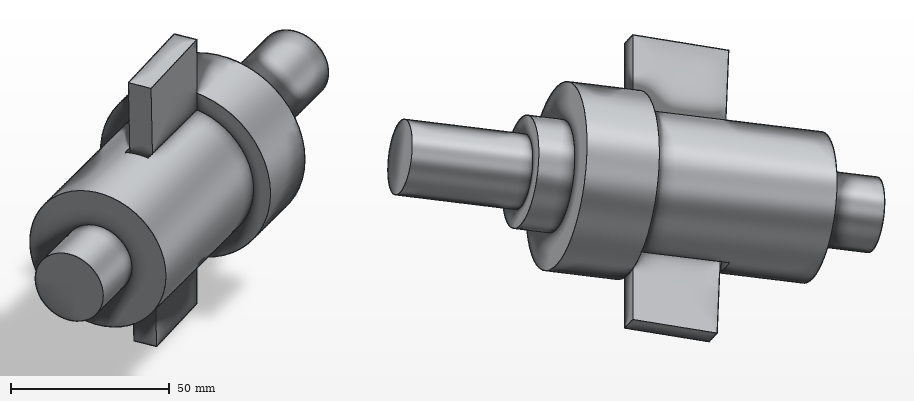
import cadquery as cq
import math

shaft_diameter = 24.0
barrel_diameter = 48.0
collar_diameter = 60.0
hub_diameter = 36.0

nose_length = 20.0
barrel_length = 61.0
collar_length = 24.0
hub_length = 12.0
shank_length = 40.0

blade_thickness = 8.0
blade_depth = 30.0
blade_edge_length = 96.0
blade_tilt = 2.3
slot_depth = 33.0
slot_edge_length = 2 * barrel_diameter


def cylinder(diameter, start_y, length):
    """Solid cylinder on the Y axis, from start_y toward +Y."""
    base = cq.Workplane("XZ", origin=(0, start_y, 0))
    return base.circle(diameter / 2).extrude(-length)


def tilted_plate(depth, edge_length):
    """Plate with its back on the collar face and its front edge tilted about X.

    The upper and lower edges are square to the front edge.
    """
    tilt = math.radians(blade_tilt)
    half_height = edge_length / 2 * math.cos(tilt)
    edge_shift = edge_length / 2 * math.sin(tilt)
    front_top_y = -depth - edge_shift
    front_bottom_y = -depth + edge_shift
    outline = [
        (front_top_y, half_height),
        (0, half_height - front_top_y * math.tan(tilt)),
        (0, -half_height - front_bottom_y * math.tan(tilt)),
        (front_bottom_y, -half_height),
    ]
    return cq.Workplane("YZ").polyline(outline).close().extrude(blade_thickness / 2, both=True)


def make_spindle():
    """Nose, slotted barrel and the shank that passes through the collar."""
    nose = cylinder(shaft_diameter, -barrel_length - nose_length, nose_length)
    barrel = cylinder(barrel_diameter, -barrel_length, barrel_length)
    shank = cylinder(shaft_diameter, 0, collar_length + hub_length + shank_length)
    slot = tilted_plate(slot_depth, slot_edge_length)
    return nose.union(barrel).union(shank).cut(slot)


def make_collar():
    """Stepped ring that sits on the shank and closes the slot."""
    ring = cylinder(collar_diameter, 0, collar_length)
    hub = cylinder(hub_diameter, collar_length, hub_length)
    bore = cylinder(shaft_diameter, 0, collar_length + hub_length)
    return ring.union(hub).cut(bore)


def make_blade():
    """Flat cutter held in the barrel slot, with its back against the collar."""
    return tilted_plate(blade_depth, blade_edge_length)


spindle = make_spindle()
collar = make_collar()
blade = make_blade()

result = cq.Compound.makeCompound([spindle.val(), collar.val(), blade.val()])